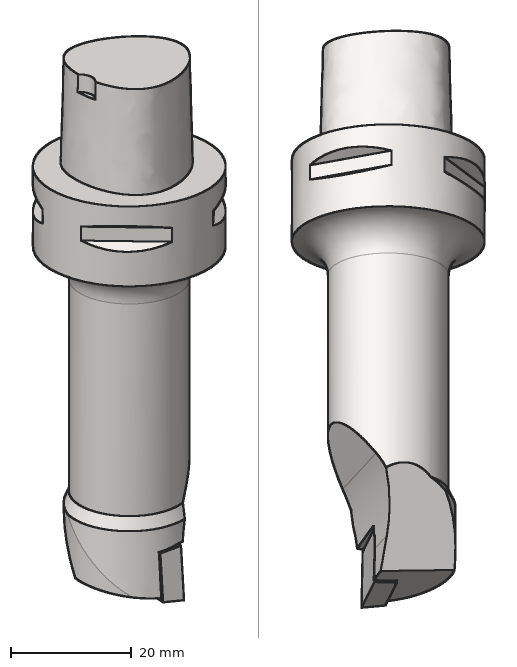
import cadquery as cq
import math

flange_radius = 16.0
flange_height = 14.6

shank_height = 19.1
shank_base_radius = 10.9
shank_lobe = 0.7
shank_taper = 1 / 40
shank_curve_points = 36
notch_radius = 2.8
notch_depth = 3.2
notch_center_y = -11.6

slot_count = 4
slot_floor_distance = 14.1
slot_floor_width = 2.5
slot_center_z = -5.9
slot_wall_angle = 30.0

bar_diameter = 20.0
bar_radius = bar_diameter / 2
neck_radius = flange_radius - bar_radius
bar_end_z = -59.2

head_top_z = -61.5
head_top_radius = 11.1
head_low_radius = 12.2
head_low_z = -77.1
relief_radius = 11.4
relief_offset_x = 0.75

bevel_start_z = -57.6
bevel_angle = 31.7

flute_start_z = -48.4
flute_angle = 33.0
flute_arc_radius = 22.6
flute_flat_y = 1.4

end_center_z = -73.3
end_slope_x = -0.08
end_slope_y = -0.11

insert_tip = (13.0, 0.3, -74.9)
insert_edge = 9.7
insert_corner_angle = 80.0
insert_thickness = 3.95
insert_clearance = 7.0
insert_lead_angle = 5.0
insert_tilt = 6.0

tool_reach = 56.4


def tangent(degrees):
    return math.tan(math.radians(degrees))


def shank_point(radius, angle):
    """Point on a three-lobed curve with one lobe toward +Y."""
    x = radius * math.cos(angle) - shank_lobe * math.sin(2 * angle)
    y = radius * math.sin(angle) - shank_lobe * math.cos(2 * angle)
    return (x, y)


def shank_outline(radius):
    step = 2 * math.pi / shank_curve_points
    return [shank_point(radius, i * step) for i in range(shank_curve_points)]


def make_shank():
    top_radius = shank_base_radius - shank_height * shank_taper
    shank = (
        cq.Workplane("XY")
        .spline(shank_outline(shank_base_radius), periodic=True).close()
        .workplane(offset=shank_height)
        .spline(shank_outline(top_radius), periodic=True).close()
        .loft(combine=True)
    )
    notch = (
        cq.Workplane("XY", origin=(0, notch_center_y, shank_height - notch_depth))
        .circle(notch_radius)
        .extrude(notch_depth)
    )
    return shank.cut(notch)


def make_turned_body():
    """Flange, concave neck and bar in one revolve."""
    neck_end_z = -flange_height - neck_radius
    arc_offset = neck_radius * math.sqrt(0.5)
    arc_middle = (flange_radius - arc_offset, neck_end_z + arc_offset)
    return (
        cq.Workplane("XZ")
        .lineTo(flange_radius, 0)
        .lineTo(flange_radius, -flange_height)
        .threePointArc(arc_middle, (bar_radius, neck_end_z))
        .lineTo(bar_radius, bar_end_z)
        .lineTo(0, bar_end_z)
        .close()
        .revolve(360, (0, 0, 0), (0, 1, 0))
    )


def make_head():
    cone = (
        cq.Workplane("XZ")
        .moveTo(0, bar_end_z)
        .lineTo(bar_radius, bar_end_z)
        .lineTo(head_top_radius, head_top_z)
        .lineTo(head_low_radius, head_low_z)
        .lineTo(0, head_low_z)
        .close()
        .revolve(360, (0, 0, 0), (0, 1, 0))
    )
    relief = (
        cq.Workplane("XY", origin=(relief_offset_x, 0, head_low_z))
        .circle(relief_radius)
        .extrude(bar_end_z - head_low_z)
    )
    return cone.intersect(relief)


def make_slot_cutter():
    """Trapezoid slot that widens outward, on the +X side."""
    outer_x = flange_radius + 0.9
    floor_half = slot_floor_width / 2
    outer_half = floor_half + (outer_x - slot_floor_distance) * tangent(slot_wall_angle)
    return (
        cq.Workplane("XZ", origin=(0, 0, slot_center_z))
        .polyline([
            (slot_floor_distance, -floor_half),
            (outer_x, -outer_half),
            (outer_x, outer_half),
            (slot_floor_distance, floor_half),
        ])
        .close()
        .extrude(flange_radius, both=True)
    )


def make_bevel_cutter():
    low_x = -bar_radius + (bevel_start_z - head_low_z) * tangent(bevel_angle)
    outer_x = -flange_radius
    outer_z = bevel_start_z + (flange_radius - bar_radius) / tangent(bevel_angle)
    return (
        cq.Workplane("XZ")
        .polyline([(outer_x, outer_z), (low_x, head_low_z), (outer_x, head_low_z)])
        .close()
        .extrude(tool_reach / 2, both=True)
    )


def make_flute_cutter():
    angle = math.radians(flute_angle)
    arc_center_y = flute_flat_y + flute_arc_radius

    def arc_y(a):
        return arc_center_y - flute_arc_radius * math.cos(a)

    slope_end_z = flute_start_z - (bar_radius - arc_y(angle)) / math.tan(angle)
    arc_center_z = slope_end_z - flute_arc_radius * math.sin(angle)
    arc_middle_z = arc_center_z + flute_arc_radius * math.sin(angle / 2)
    outer_y = flange_radius
    outer_z = flute_start_z + (outer_y - bar_radius) / math.tan(angle)
    return (
        cq.Workplane("YZ")
        .moveTo(outer_y, outer_z)
        .lineTo(arc_y(angle), slope_end_z)
        .threePointArc((arc_y(angle / 2), arc_middle_z), (flute_flat_y, arc_center_z))
        .lineTo(flute_flat_y, head_low_z)
        .lineTo(outer_y, head_low_z)
        .close()
        .extrude(tool_reach / 2, both=True)
    )


def make_end_cutter():
    plane = cq.Plane(
        origin=(0, 0, end_center_z),
        xDir=(1, 0, end_slope_x),
        normal=(end_slope_x, end_slope_y, -1),
    )
    return cq.Workplane(plane).rect(tool_reach, tool_reach).extrude(tool_reach / 2)


def insert_sketch():
    """Rhombus on the rake face, with its cutting corner at the origin."""
    tilt = math.radians(insert_tilt)
    plane = cq.Plane(
        origin=insert_tip,
        xDir=(-math.cos(tilt), math.sin(tilt), 0),
        normal=(math.sin(tilt), math.cos(tilt), 0),
    )
    low = math.radians(insert_lead_angle)
    high = math.radians(insert_lead_angle + insert_corner_angle)
    low_corner = (insert_edge * math.cos(low), insert_edge * math.sin(low))
    high_corner = (insert_edge * math.cos(high), insert_edge * math.sin(high))
    far_corner = (low_corner[0] + high_corner[0], low_corner[1] + high_corner[1])
    return (
        cq.Workplane(plane)
        .polyline([(0, 0), low_corner, far_corner, high_corner])
        .close()
    )


def make_insert():
    return insert_sketch().extrude(-insert_thickness, taper=insert_clearance)


def make_holder(insert):
    holder = make_turned_body().union(make_shank()).union(make_head())
    slot = make_slot_cutter()
    for i in range(slot_count):
        slot_angle = (i + 0.5) * 360 / slot_count
        holder = holder.cut(slot.rotate((0, 0, 0), (0, 0, 1), slot_angle))
    holder = holder.cut(make_bevel_cutter()).cut(make_flute_cutter()).cut(make_end_cutter())
    clearance_above_insert = insert_sketch().extrude(insert_thickness)
    return holder.cut(insert).cut(clearance_above_insert)


insert = make_insert()
holder = make_holder(insert)

result = cq.Compound.makeCompound([holder.val(), insert.val()])